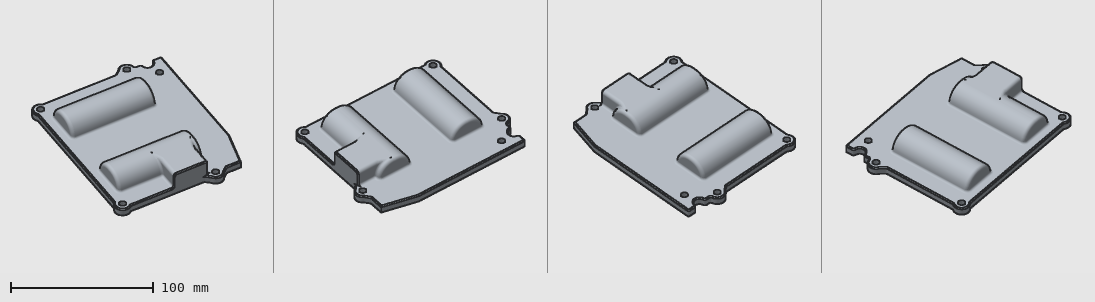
import cadquery as cq
import math

plate_thickness = 5.9
total_height = 18.7
overall_width = 134.5
half_width = 60.9
bottom_edge_y = -4.6
top_edge_y = 100.4
bevel_start_x = 33.2
bevel_end_y = 93.6
corner_round = 1.1
rim_chamfer = 1.0

hole_diameter = 5.1
ear_radius = 6.0
ear_blend = 1.3
lower_ear_x = 56.5
side_ear_x = overall_width / 2 - ear_radius
side_ear_y = 72.7
ramp_angle = math.radians(60)
ramp_top = (ear_radius * math.cos(ramp_angle), ear_radius * math.sin(ramp_angle))
ramp_reach = 9.1
ramp_blend = 2.0
corner_hole = (-47.0, 91.0)

notch_center = (-59.7, 88.6)
notch_radius = 4.0
notch_blend = 2.0

dome_height = total_height - plate_thickness
dome_start_y = 3.2
dome_end_y = 71.5
dome_end_round = 2.7
foot_fillet = 1.9
left_crest = (-33.0, -31.5)
left_flanks = (13.2, 13.2)
right_crest = (30.7, 33.1)
right_flanks = (13.2, 12.6)

duct_start_y = 39.0
duct_end_y = 66.8
duct_round = 2.8
duct_flare = 1.9

overrun_x = 80.7
foot_margin = 3.4
flare_margin = 0.1
cutter_size = 4 * overrun_x
tolerance = 0.07


def disc(center, radius, height):
    return cq.Workplane("XY").center(*center).circle(radius).extrude(height)


def ear_ramp(side, direction):
    """A ramp that leads from a side ear back into the plate edge."""
    points = [
        (-ear_radius, 0),
        (ear_radius * math.cos(ramp_angle), 0),
        ramp_top,
        (half_width - side_ear_x, ramp_reach),
        (-ear_radius, ramp_reach),
    ]
    placed = [(side * (side_ear_x + x), side_ear_y + direction * y) for x, y in points]
    return cq.Workplane("XY").polyline(placed).close().extrude(plate_thickness)


def round_corners(body, near, radius):
    """Round the upright edges closest to each of the given points."""
    for x, y in near:
        corner = cq.selectors.NearestToPointSelector((x, y, plate_thickness / 2))
        body = body.edges(corner).fillet(radius)
    return body


def make_plate():
    outline = [
        (-half_width, 0),
        (-lower_ear_x, bottom_edge_y),
        (lower_ear_x, bottom_edge_y),
        (half_width, 0),
        (half_width, bevel_end_y),
        (bevel_start_x, top_edge_y),
        (-half_width, top_edge_y),
    ]
    plate = cq.Workplane("XY").polyline(outline).close().extrude(plate_thickness)
    for side in (-1, 1):
        plate = plate.union(disc((side * lower_ear_x, 0), ear_radius, plate_thickness))
        plate = plate.union(disc((side * side_ear_x, side_ear_y), ear_radius, plate_thickness))
    ramps = [(-1, -1), (1, -1), (1, 1)]
    for side, direction in ramps:
        plate = plate.union(ear_ramp(side, direction))
    plate = plate.cut(disc(notch_center, notch_radius, plate_thickness)).clean()

    plate = round_corners(plate, [(-half_width, top_edge_y)], corner_round)
    ear_side_y = math.sqrt(ear_radius**2 - (half_width - lower_ear_x) ** 2)
    ear_bottom_x = lower_ear_x - math.sqrt(ear_radius**2 - bottom_edge_y**2)
    for side in (-1, 1):
        lower_corners = [(side * half_width, ear_side_y), (side * ear_bottom_x, bottom_edge_y)]
        plate = round_corners(plate, lower_corners, ear_blend)
    plate = round_corners(plate, [(-half_width, side_ear_y + ear_radius)], ear_blend)

    for side, direction in ramps:
        ramp_corners = [
            (side * half_width, side_ear_y + direction * ramp_reach),
            (side * (side_ear_x + ramp_top[0]), side_ear_y + direction * ramp_top[1]),
        ]
        plate = round_corners(plate, ramp_corners, ramp_blend)
    mouth = math.sqrt(notch_radius**2 - (half_width + notch_center[0]) ** 2)
    notch_corners = [(-half_width, notch_center[1] + offset) for offset in (-mouth, mouth)]
    return round_corners(plate, notch_corners, notch_blend)


def make_dome(crest, flanks, start_y, end_y):
    """A long dome with a flat crest strip and a round flank on either side."""
    left, right = crest

    def flank_middle(crest_x, span, side):
        radius = (span**2 + dome_height**2) / (2 * dome_height)
        angle = math.atan2(span, radius - dome_height) / 2
        return crest_x + side * radius * math.sin(angle), total_height - radius * (1 - math.cos(angle))

    profile = (
        cq.Workplane("XZ", origin=(0, start_y, 0))
        .moveTo(left - flanks[0], plate_thickness)
        .threePointArc(flank_middle(left, flanks[0], -1), (left, total_height))
        .lineTo(right, total_height)
        .threePointArc(flank_middle(right, flanks[1], 1), (right + flanks[1], plate_thickness))
        .lineTo(right + flanks[1], 0)
        .lineTo(left - flanks[0], 0)
        .close()
    )
    return profile.extrude(start_y - end_y)


def make_rounded_dome(crest, flanks):
    dome = make_dome(crest, flanks, dome_start_y, dome_end_y)
    return dome.faces("<Y or >Y").edges("not(|Z or <Z)").fillet(dome_end_round)


def make_duct():
    """A flat-topped duct that flares into the flank of the right dome, built as two mirrored halves."""
    middle_y = (duct_start_y + duct_end_y) / 2
    inner_x = right_crest[0]
    flank = make_dome(right_crest, right_flanks, middle_y, duct_end_y + duct_flare + flare_margin)
    block = (
        cq.Workplane("XY")
        .box(overrun_x - inner_x, duct_end_y - middle_y, total_height, centered=False)
        .translate((inner_x, middle_y, 0))
    )
    half = flank.union(block).clean()
    wall_on_flank = cq.selectors.BoxSelector(
        (right_crest[1], duct_end_y - tolerance, plate_thickness),
        (right_crest[1] + right_flanks[1], duct_end_y + tolerance, total_height - tolerance),
    )
    half = half.edges(wall_on_flank).edges("%CIRCLE").fillet(duct_flare)
    top_rim = cq.selectors.BoxSelector(
        (right_crest[1] + tolerance, middle_y + tolerance, total_height - tolerance),
        (overrun_x - tolerance, dome_end_y, total_height + tolerance),
    )
    half = half.edges(top_rim).fillet(duct_round)
    return half.union(half.mirror("XZ", (0, middle_y, 0)))


def make_raised_shapes():
    """Both domes and the duct on a common slab, with fillets around their feet."""
    slab_start = (-half_width + foot_margin, dome_start_y - foot_margin)
    slab_end = (overrun_x, dome_end_y + foot_margin)
    slab = (
        cq.Workplane("XY")
        .box(slab_end[0] - slab_start[0], slab_end[1] - slab_start[1], plate_thickness / 2, centered=False)
        .translate((*slab_start, plate_thickness / 2))
    )
    lower_half = cq.Workplane("XY").box(cutter_size, cutter_size, plate_thickness)
    shapes = make_rounded_dome(right_crest, right_flanks).union(make_duct()).clean()
    shapes = shapes.union(make_rounded_dome(left_crest, left_flanks)).cut(lower_half)
    raised = slab.union(shapes)
    feet = cq.selectors.BoxSelector(
        (slab_start[0] + tolerance, slab_start[1] + tolerance, plate_thickness - tolerance),
        (slab_end[0] - tolerance, slab_end[1] - tolerance, plate_thickness + tolerance),
    )
    raised = raised.edges(feet).fillet(foot_fillet)

    beyond_edge = cq.Workplane("XY").box(cutter_size, cutter_size, cutter_size)
    beyond_edge = beyond_edge.translate((half_width + cutter_size / 2, 0, 0))
    raised = raised.cut(beyond_edge)
    end_rim = cq.selectors.BoxSelector(
        (half_width - tolerance, slab_start[1] + tolerance, plate_thickness - tolerance),
        (half_width + tolerance, slab_end[1] - tolerance, total_height + tolerance),
    )
    return raised.edges(end_rim).chamfer(rim_chamfer)


def make_holes():
    centers = [corner_hole]
    for side in (-1, 1):
        centers += [(side * lower_ear_x, 0), (side * side_ear_x, side_ear_y)]
    return cq.Workplane("XY").pushPoints(centers).circle(hole_diameter / 2).extrude(plate_thickness)


plate = make_plate().faces(">Z").edges().chamfer(rim_chamfer)
result = plate.union(make_raised_shapes()).cut(make_holes())